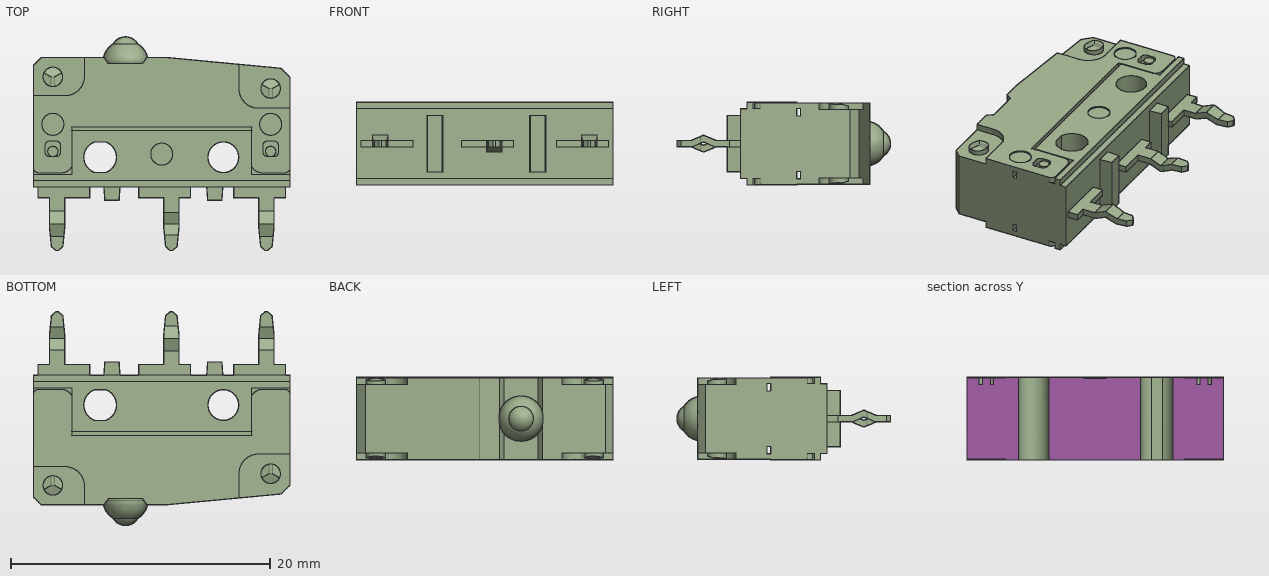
import cadquery as cq
import math


LENGTH = 19.8
FRAME_Z = 3.2
COVER_Z = 3.15
BASE_Z = 2.7
CORE_Z = 2.15
HALF_LENGTH = LENGTH / 2

BODY_HEIGHT = 10.0
TERMINAL_LENGTH = 4.9
TOTAL_HEIGHT = 16.5
FRAME_SETBACK = 0.5
BASE_BOTTOM = -2.3
COVER_TOP = BASE_BOTTOM + BODY_HEIGHT
TERMINAL_TIP = BASE_BOTTOM - TERMINAL_LENGTH
PLUNGER_TIP = TERMINAL_TIP + TOTAL_HEIGHT
FRAME_BOTTOM = BASE_BOTTOM + FRAME_SETBACK
FLANGE_TOP = -1.32
TAB_BOTTOM = -1.2
SEAM_BOTTOM = 2.06
SEAM_TOP = 2.34

FRAME_HALF_WIDTH = 6.94
LEFT_CHAMFER = 0.6
RIGHT_CHAMFER = 0.7
SLOPE_START_X = 0.4
RIGHT_SHOULDER_Y = 6.87
TAB_OUTER_RADIUS = 0.4
TAB_INNER_RADIUS = 0.9
TAB_INNER_RUN = 0.8

POCKET_Z = 2.65
POCKET_EDGE_X = 5.96
POCKET_RADIUS = 1.5
LEFT_POCKET_BOTTOM = 4.75
RIGHT_POCKET_BOTTOM = 3.78
LUG_X = 8.4
LEFT_RIVET_Y = 6.2
RIGHT_RIVET_Y = 5.3
RIVET_DIAMETER = 1.5
RIVET_Z = 3.12
RIDGE_WIDTH = 0.25
END_FACET_SLOPE = 0.31
SIDE_FACET_SLOPE = 0.17

HOLE_SPACING = 9.5
HOLE_DIAMETER = 2.35
LEFT_HOLE_DIAMETER = 2.5
SLOT_SIZE = 1.2
SLOT_RADIUS = 0.35
SLOT_Y = 0.65
SLOT_DEPTH = 0.5
SLOT_PIN_DIAMETER = 0.8
LABEL_DIAMETER = 1.7
LABEL_DEPTH = 0.1
OUTER_LABEL_Y = 2.54
MIDDLE_LABEL_Y = 0.24

PLUNGER_X = -2.8
PLUNGER_RADIUS = 1.75
CAP_RADIUS = 0.95
NOTCH_DEPTH = 0.48
NOTCH_HALF_BOTTOM = 1.32
NOTCH_HALF_TOP = 1.66
RIM_HEIGHT = 0.13
CAP_START = 8.75

PEG_XS = (-3.84, 4.09)
PEG_ROOT_WIDTH = 1.26
PEG_END_WIDTH = 1.12
PEG_HEIGHT = 1.02
PEG_HALF_Z = 2.18

STEM_OFFSET = 0.52
TERMINALS = (
    (-7.55, -STEM_OFFSET, 1),
    (0.22, STEM_OFFSET, -1),
    (7.55, STEM_OFFSET, 1),
)
SHEET = 0.5
PLATE_WIDTH = 4.02
PLATE_LENGTH = 0.83
STEM_WIDTH = 1.2
TAPER_START = -5.39
TIP_START = -6.89
TIP_START_WIDTH = 0.9
TIP_WIDTH = 0.2
BEND_START = -4.2
BEND_RUN = 0.93
BEND_RISE = 0.39
ROOT_OVERLAP = 0.5


def block(x0, x1, y0, y1, z0, z1):
    return cq.Workplane("XY").box(x1 - x0, y1 - y0, z1 - z0, centered=False).translate((x0, y0, z0))


def symmetric(outline, half_thickness):
    """Extrude a closed XY outline equally to both sides of the mid plane."""
    return outline.extrude(half_thickness, both=True)


def mirror_pair(solid):
    """The solid together with its mirror image below the mid plane."""
    return solid.union(solid.mirror("XY"))


def make_base():
    base = block(-HALF_LENGTH, HALF_LENGTH, BASE_BOTTOM, SEAM_BOTTOM, -BASE_Z, BASE_Z)
    core = block(-HALF_LENGTH, HALF_LENGTH, BASE_BOTTOM, SEAM_TOP, -CORE_Z, CORE_Z)
    frame = block(-FRAME_HALF_WIDTH, FRAME_HALF_WIDTH, FRAME_BOTTOM, SEAM_BOTTOM, -FRAME_Z, FRAME_Z)
    strip = block(-HALF_LENGTH, HALF_LENGTH, FRAME_BOTTOM, FLANGE_TOP, -FRAME_Z, FRAME_Z)
    return base.union(core).union(frame).union(strip)


def make_cover():
    outline = (
        cq.Workplane("XY")
        .moveTo(-HALF_LENGTH, SEAM_TOP)
        .lineTo(-HALF_LENGTH, COVER_TOP - LEFT_CHAMFER)
        .lineTo(-HALF_LENGTH + LEFT_CHAMFER, COVER_TOP)
        .lineTo(SLOPE_START_X, COVER_TOP)
        .lineTo(HALF_LENGTH - RIGHT_CHAMFER, RIGHT_SHOULDER_Y)
        .lineTo(HALF_LENGTH, RIGHT_SHOULDER_Y - RIGHT_CHAMFER)
        .lineTo(HALF_LENGTH, SEAM_TOP)
        .close()
    )
    return symmetric(outline, COVER_Z)


def make_tab(side):
    """Cover tab beside the frame on the upper face; side is -1 or +1 along X."""
    centre_x = FRAME_HALF_WIDTH + TAB_INNER_RUN
    centre_y = TAB_BOTTOM + TAB_INNER_RADIUS
    end_angle = math.asin(TAB_INNER_RUN / TAB_INNER_RADIUS)

    def inner_arc(angle):
        x = centre_x - TAB_INNER_RADIUS * math.sin(angle)
        y = centre_y - TAB_INNER_RADIUS * math.cos(angle)
        return (x, y)

    tab = (
        cq.Workplane("XY")
        .workplane(offset=BASE_Z)
        .moveTo(FRAME_HALF_WIDTH, SEAM_TOP)
        .lineTo(*inner_arc(end_angle))
        .threePointArc(inner_arc(end_angle / 2), inner_arc(0))
        .lineTo(HALF_LENGTH - TAB_OUTER_RADIUS, TAB_BOTTOM)
        .radiusArc((HALF_LENGTH, TAB_BOTTOM + TAB_OUTER_RADIUS), -TAB_OUTER_RADIUS)
        .lineTo(HALF_LENGTH, SEAM_TOP)
        .close()
        .extrude(COVER_Z - BASE_Z)
    )
    return tab if side > 0 else tab.mirror("YZ")


def make_corner_pocket(side, bottom):
    """Corner cutter above the pocket floor, rounded at its inner lower edge."""
    pocket = block(POCKET_EDGE_X, LENGTH, bottom, COVER_TOP + POCKET_RADIUS, POCKET_Z, FRAME_Z)
    pocket = pocket.edges("|Z and <X and <Y").fillet(POCKET_RADIUS)
    return pocket if side > 0 else pocket.mirror("YZ")


def make_rivet(x, y):
    """Round rivet whose head has a flat ridge toward -Y and three sloping facets."""
    radius = RIVET_DIAMETER / 2
    floor = CORE_Z
    half_ridge = RIDGE_WIDTH / 2
    side_z = RIVET_Z - SIDE_FACET_SLOPE * (radius - half_ridge)
    roof = (
        cq.Workplane("XZ", origin=(0, radius, 0))
        .moveTo(-radius, floor)
        .lineTo(-radius, side_z)
        .lineTo(-half_ridge, RIVET_Z)
        .lineTo(half_ridge, RIVET_Z)
        .lineTo(radius, side_z)
        .lineTo(radius, floor)
        .close()
        .extrude(RIVET_DIAMETER)
    )
    end_slope = (
        cq.Workplane("YZ", origin=(-radius, 0, 0))
        .moveTo(-radius, floor)
        .lineTo(-radius, RIVET_Z)
        .lineTo(0, RIVET_Z)
        .lineTo(radius, RIVET_Z - END_FACET_SLOPE * radius)
        .lineTo(radius, floor)
        .close()
        .extrude(RIVET_DIAMETER)
    )
    shank = cq.Workplane("XY").workplane(offset=floor).circle(radius).extrude(RIVET_Z - floor)
    return shank.intersect(roof).intersect(end_slope).translate((x, y, 0))


def make_mounting_holes():
    """Round right hole and a slightly larger left hole with flats on its +Y and -Y sides."""
    left_centre = cq.Workplane("XY").center(-HOLE_SPACING / 2, 0)
    left_circle = symmetric(left_centre.circle(LEFT_HOLE_DIAMETER / 2), FRAME_Z)
    left_flats = symmetric(left_centre.rect(LEFT_HOLE_DIAMETER, HOLE_DIAMETER), FRAME_Z)
    right_centre = cq.Workplane("XY").center(HOLE_SPACING / 2, 0)
    right = symmetric(right_centre.circle(HOLE_DIAMETER / 2), FRAME_Z)
    return left_circle.intersect(left_flats).union(right)


def make_slot(x):
    """Shallow rounded-square pocket with a flush round pin standing at its -Y side."""
    pin_y = SLOT_Y - (SLOT_SIZE - SLOT_PIN_DIAMETER) / 2
    floor = cq.Workplane("XY").workplane(offset=COVER_Z - SLOT_DEPTH)
    pocket = floor.center(x, SLOT_Y).rect(SLOT_SIZE, SLOT_SIZE).extrude(SLOT_DEPTH)
    pocket = pocket.edges("|Z").fillet(SLOT_RADIUS)
    pin = floor.center(x, pin_y).circle(SLOT_PIN_DIAMETER / 2).extrude(SLOT_DEPTH)
    return pocket.cut(pin)


def make_label_disc(x, y, face_z):
    disc = cq.Workplane("XY").workplane(offset=face_z - LABEL_DEPTH)
    return disc.center(x, y).circle(LABEL_DIAMETER / 2).extrude(LABEL_DEPTH)


def make_plunger_notch():
    outline = (
        cq.Workplane("XY")
        .center(PLUNGER_X, COVER_TOP)
        .moveTo(-NOTCH_HALF_TOP, 0)
        .lineTo(-NOTCH_HALF_BOTTOM, -NOTCH_DEPTH)
        .lineTo(NOTCH_HALF_BOTTOM, -NOTCH_DEPTH)
        .lineTo(NOTCH_HALF_TOP, 0)
        .close()
    )
    return symmetric(outline, COVER_Z)


def make_plunger():
    """Revolved plunger: short cylindrical rim, big dome, smaller rounded tip."""
    seat = COVER_TOP - NOTCH_DEPTH
    rim_top = seat + RIM_HEIGHT
    dome_inset = PLUNGER_RADIUS - CAP_RADIUS
    dome_height = CAP_START - rim_top
    cap_height = PLUNGER_TIP - CAP_START
    dome_arc = (dome_inset ** 2 + dome_height ** 2) / (2 * dome_inset)
    cap_arc = (CAP_RADIUS ** 2 + cap_height ** 2) / (2 * cap_height)
    profile = (
        cq.Workplane("XY")
        .moveTo(0, seat - ROOT_OVERLAP)
        .lineTo(PLUNGER_RADIUS, seat - ROOT_OVERLAP)
        .lineTo(PLUNGER_RADIUS, rim_top)
        .radiusArc((CAP_RADIUS, CAP_START), -dome_arc)
        .radiusArc((0, PLUNGER_TIP), -cap_arc)
        .close()
    )
    return profile.revolve(360, (0, 0, 0), (0, 1, 0)).translate((PLUNGER_X, 0, 0))


def make_peg(x):
    outline = (
        cq.Workplane("XY")
        .center(x, BASE_BOTTOM)
        .moveTo(-PEG_ROOT_WIDTH / 2, ROOT_OVERLAP)
        .lineTo(-PEG_ROOT_WIDTH / 2, 0)
        .lineTo(-PEG_END_WIDTH / 2, -PEG_HEIGHT)
        .lineTo(PEG_END_WIDTH / 2, -PEG_HEIGHT)
        .lineTo(PEG_ROOT_WIDTH / 2, 0)
        .lineTo(PEG_ROOT_WIDTH / 2, ROOT_OVERLAP)
        .close()
    )
    return symmetric(outline, PEG_HALF_Z)


def make_terminal(plate_x, stem_offset, bend):
    """Sheet terminal: wide plate, tapered stem, and one V-shaped kink in Z."""
    stem_x = plate_x + stem_offset
    root = BASE_BOTTOM + ROOT_OVERLAP
    half_sheet = SHEET / 2

    slope = math.atan2(BEND_RISE, BEND_RUN)
    shift = half_sheet * math.tan(slope / 2)
    crest = half_sheet / math.cos(slope)
    crest_y = BEND_START - BEND_RUN
    bend_end = crest_y - BEND_RUN
    strip = (
        cq.Workplane("YZ")
        .moveTo(root, bend * half_sheet)
        .lineTo(BEND_START + shift, bend * half_sheet)
        .lineTo(crest_y, bend * (BEND_RISE + crest))
        .lineTo(bend_end - shift, bend * half_sheet)
        .lineTo(TERMINAL_TIP, bend * half_sheet)
        .lineTo(TERMINAL_TIP, -bend * half_sheet)
        .lineTo(bend_end + shift, -bend * half_sheet)
        .lineTo(crest_y, bend * (BEND_RISE - crest))
        .lineTo(BEND_START - shift, -bend * half_sheet)
        .lineTo(root, -bend * half_sheet)
        .close()
        .extrude(STEM_WIDTH / 2, both=True)
        .translate((stem_x, 0, 0))
    )
    stem_outline = (
        cq.Workplane("XY")
        .center(stem_x, 0)
        .moveTo(-STEM_WIDTH / 2, root)
        .lineTo(-STEM_WIDTH / 2, TAPER_START)
        .lineTo(-TIP_START_WIDTH / 2, TIP_START)
        .lineTo(-TIP_WIDTH / 2, TERMINAL_TIP)
        .lineTo(TIP_WIDTH / 2, TERMINAL_TIP)
        .lineTo(TIP_START_WIDTH / 2, TIP_START)
        .lineTo(STEM_WIDTH / 2, TAPER_START)
        .lineTo(STEM_WIDTH / 2, root)
        .close()
    )
    stem = strip.intersect(symmetric(stem_outline, BEND_RISE + SHEET))
    plate_left = plate_x - PLATE_WIDTH / 2
    plate_end = BASE_BOTTOM - PLATE_LENGTH
    plate = block(plate_left, plate_left + PLATE_WIDTH, plate_end, root, -half_sheet, half_sheet)
    return plate.union(stem)


housing = make_base().union(make_cover())
for side in (-1, 1):
    housing = housing.union(mirror_pair(make_tab(side)))
housing = housing.cut(mirror_pair(make_corner_pocket(-1, LEFT_POCKET_BOTTOM)))
housing = housing.cut(mirror_pair(make_corner_pocket(1, RIGHT_POCKET_BOTTOM)))
housing = housing.cut(make_mounting_holes()).cut(make_plunger_notch())

for x in (-LUG_X, LUG_X):
    housing = housing.cut(make_slot(x))
    housing = housing.cut(make_label_disc(x, OUTER_LABEL_Y, COVER_Z))
housing = housing.cut(make_label_disc(0, MIDDLE_LABEL_Y, FRAME_Z))

result = housing.union(mirror_pair(make_rivet(-LUG_X, LEFT_RIVET_Y)))
result = result.union(mirror_pair(make_rivet(LUG_X, RIGHT_RIVET_Y)))
result = result.union(make_plunger())
for peg_x in PEG_XS:
    result = result.union(make_peg(peg_x))
for plate_x, stem_offset, bend in TERMINALS:
    result = result.union(make_terminal(plate_x, stem_offset, bend))